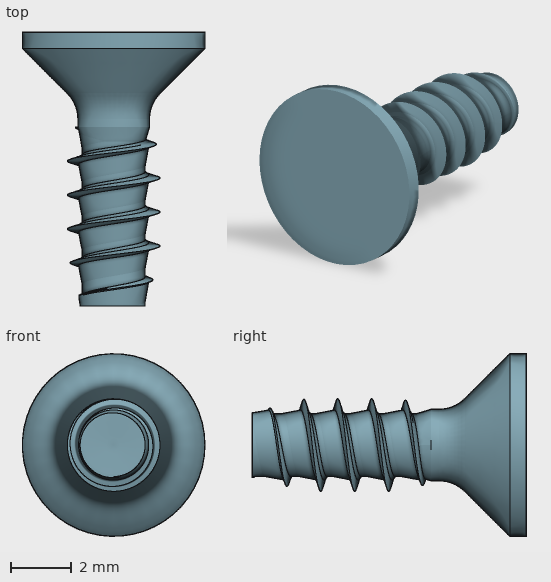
import cadquery as cq
import math

length = 9.0
head_diameter = 6.0
head_radius = head_diameter / 2
head_rim = 0.54
shank_radius = 1.18
core_radius = 1.035
neck_fillet = 1.2
shank_end = 3.12
cone_end = 3.69
cone_end_radius = 1.01
dish_radius = 0.98
dish_depth = 0.045

pitch = 1.12
crest_radius = 1.52
foot_radius = 1.15
flank_width = 0.11
head_side_width = 0.21
tip_side_width = 0.71
start_crest_radius = 1.26
start_rise = 0.29
end_crest_radius = 1.07
end_turn = 5 + 1 / 4
end_fall = 0.29
first_turn = -1
last_turn = 5
points_per_turn = 24

half_root = math.sqrt(0.5)
neck_radius = shank_radius + neck_fillet * (1 - half_root)
neck_start = head_rim + head_radius - neck_radius
neck_end = neck_start + neck_fillet * half_root
neck_mid_angle = math.radians(22.5)
neck_mid = (
    shank_radius + neck_fillet * (1 - math.cos(neck_mid_angle)),
    -neck_end + neck_fillet * math.sin(neck_mid_angle),
)


def make_body():
    """Head, neck, shank and the short cone that leads down into the core."""
    return (
        cq.Workplane("XY")
        .lineTo(head_radius, 0)
        .lineTo(head_radius, -head_rim)
        .lineTo(neck_radius, -neck_start)
        .threePointArc(neck_mid, (shank_radius, -neck_end))
        .lineTo(shank_radius, -shank_end)
        .lineTo(cone_end_radius, -cone_end)
        .lineTo(0, -cone_end)
        .close()
        .revolve(360, (0, 0, 0), (0, 1, 0))
    )


def crest_at(turn):
    """Crest radius, rising along the first turn and falling along the last ones."""
    rising = start_crest_radius + start_rise * turn
    falling = end_crest_radius + end_fall * (end_turn - turn)
    return max(end_crest_radius, min(crest_radius, rising, falling))


def height_share(turn):
    """Thread height as a share of the full height; low threads are narrow too."""
    return (crest_at(turn) - core_radius) / (crest_radius - core_radius)


def thread_section(turn):
    """Section over one pitch at a given turn, from one thread root to the next."""
    crest = crest_at(turn)
    foot = min(foot_radius, crest)
    flank = flank_width * height_share(turn)
    root_start = -head_side_width * height_share(turn)
    next_root_start = pitch - head_side_width * height_share(turn + 1)
    outline = [
        (core_radius, root_start),
        (foot, -flank),
        (crest, 0),
        (foot, flank),
        (core_radius, tip_side_width),
        (core_radius, next_root_start),
    ]
    angle = 2 * math.pi * turn
    depth = shank_end + pitch * turn
    return [
        cq.Vector(-r * math.cos(angle), -(depth + offset), -r * math.sin(angle))
        for r, offset in outline
    ]


def on_axis(point):
    """The point on the screw axis level with a given point."""
    return cq.Vector(0, point.y, 0)


def end_faces(edge, section):
    """Close an end of the rod: a helicoid under the root and a radial section."""
    axis_edge = cq.Edge.makeLine(on_axis(edge.startPoint()), on_axis(edge.endPoint()))
    outline = [on_axis(section[0])] + section + [on_axis(section[-1])]
    return [
        cq.Face.makeRuledSurface(edge, axis_edge),
        cq.Face.makeFromWires(cq.Wire.makePolygon(outline, close=True)),
    ]


def make_threaded_rod():
    """Core and thread together, bounded turn by turn by ruled helical faces."""
    faces = []
    for turn in range(first_turn, last_turn + 1):
        sections = [
            thread_section(turn + step / points_per_turn)
            for step in range(points_per_turn + 1)
        ]
        edges = [cq.Edge.makeSpline(list(path)) for path in zip(*sections)]
        faces += [cq.Face.makeRuledSurface(a, b) for a, b in zip(edges, edges[1:])]
        if turn == first_turn:
            faces += end_faces(edges[0], sections[0])
        if turn == last_turn:
            faces += end_faces(edges[-1], sections[-1])
    return cq.Workplane(cq.Solid.makeSolid(cq.Shell.makeShell(faces)).fix())


thread_span = (
    cq.Workplane("XZ", origin=(0, -shank_end, 0))
    .circle(head_radius)
    .extrude(length - shank_end)
)

tip_dish = cq.Workplane(
    cq.Solid.makeCone(dish_radius, 0, dish_depth, cq.Vector(0, -length, 0), cq.Vector(0, 1, 0))
)

threaded_rod = make_threaded_rod().intersect(thread_span).cut(tip_dish)
result = make_body().union(threaded_rod)